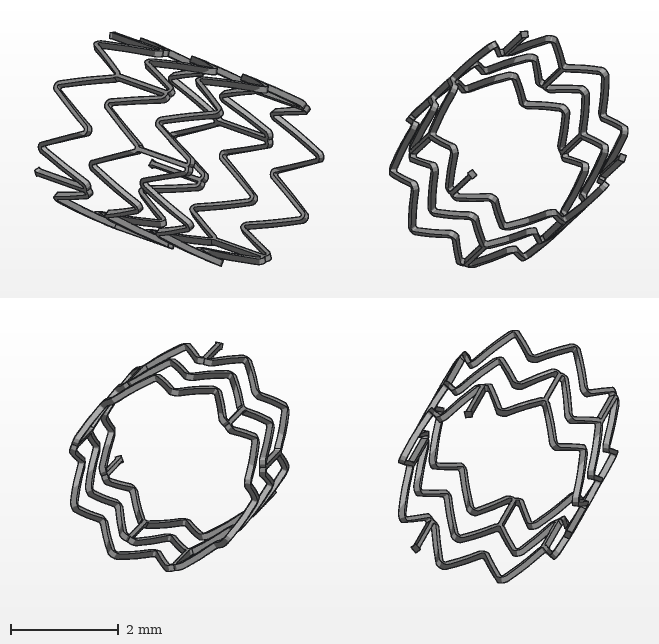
import cadquery as cq
import math

OUTER_DIAMETER = 3.5
INNER_DIAMETER = 3.26
OUTER_RADIUS = OUTER_DIAMETER / 2

TOTAL_LENGTH = 4.22
RING_COUNT = 3
CROWNS_PER_RING = 9
LINKS_PER_RING = 3

RING_LENGTH = 1.232
STRUT_WIDTH = 0.085
CROWN_INNER_RADIUS = 0.035
CROWN_OUTER_RADIUS = CROWN_INNER_RADIUS + STRUT_WIDTH

LINK_HALF_WIDTH = 0.042
LINK_FILLET = 0.08
FIRST_LINK_ANGLE = 100.0

CROWN_STEP = 360 / CROWNS_PER_RING
LINK_STEP = 360 / LINKS_PER_RING
STRUT_SPAN = CROWN_STEP / 2
HALF_SPAN = OUTER_RADIUS * math.tan(math.radians(STRUT_SPAN / 2))

LOOP_OFFSET = LINK_HALF_WIDTH + CROWN_INNER_RADIUS

fillet_end = math.sqrt(
    (CROWN_OUTER_RADIUS + LINK_FILLET) ** 2 - (LINK_HALF_WIDTH + LINK_FILLET) ** 2
)
touch_fraction = CROWN_OUTER_RADIUS / (CROWN_OUTER_RADIUS + LINK_FILLET)
fillet_start = fillet_end * touch_fraction
link_end_half_width = (LINK_HALF_WIDTH + LINK_FILLET) * touch_fraction

LINK_OVERHANG = CROWN_OUTER_RADIUS - fillet_start
RING_PITCH = (TOTAL_LENGTH - LINK_OVERHANG) / RING_COUNT
LEFT_END = -TOTAL_LENGTH / 2

LOFT_DEPTHS = (0.9, 1.02)

tube = (
    cq.Workplane("YZ", origin=(LEFT_END, 0, 0))
    .circle(OUTER_RADIUS)
    .circle(INNER_DIAMETER / 2)
    .extrude(TOTAL_LENGTH)
)


def on_circle(center, radius, angle):
    return (center[0] + radius * math.cos(angle), center[1] + radius * math.sin(angle))


def arc(center, radius, start, end):
    """Middle and end point of an arc that begins at the start angle."""
    return [on_circle(center, radius, (start + end) / 2), on_circle(center, radius, end)]


def radial_solid(start, path):
    """Solid with walls along the radius, on the -Y side of the tube.

    The outline lies in (axial, tangential) coordinates on the plane that touches
    the tube. A path step holds one point for a line and two for an arc.
    """
    sections = cq.Workplane("XZ")
    previous_depth = 0
    for fraction in LOFT_DEPTHS:
        depth = OUTER_RADIUS * fraction

        def scaled(point):
            return (point[0], point[1] * fraction)

        sections = sections.workplane(offset=depth - previous_depth).moveTo(*scaled(start))
        for step in path:
            points = [scaled(point) for point in step]
            if len(points) == 2:
                sections = sections.threePointArc(*points)
            else:
                sections = sections.lineTo(*points[0])
        sections = sections.close()
        previous_depth = depth
    return sections.loft(ruled=True)


def make_strut(linked):
    """One strut of the first ring, from a left crown up to a right crown."""
    loop_offset = LOOP_OFFSET if linked else 0
    ring_right = LEFT_END + RING_PITCH + LINK_OVERHANG
    left = (ring_right - RING_LENGTH + CROWN_OUTER_RADIUS, -HALF_SPAN)
    right = (ring_right - CROWN_OUTER_RADIUS, HALF_SPAN - loop_offset)

    run = right[0] - left[0]
    rise = right[1] - left[1]
    tangent_gap = CROWN_INNER_RADIUS + CROWN_OUTER_RADIUS
    slope = math.atan2(rise, run) - math.asin(tangent_gap / math.hypot(run, rise))
    above = slope + math.pi / 2
    below = slope - math.pi / 2

    if linked:
        outer_end = math.asin(loop_offset / CROWN_OUTER_RADIUS)
        right_end = [
            arc(right, CROWN_INNER_RADIUS, below, math.pi / 2),
            [(right[0], HALF_SPAN)],
        ]
    else:
        outer_end = 0
        right_end = [arc(right, CROWN_INNER_RADIUS, below, 0)]

    path = [
        arc(left, CROWN_OUTER_RADIUS, math.pi, above),
        [on_circle(right, CROWN_INNER_RADIUS, below)],
        *right_end,
        [on_circle(right, CROWN_OUTER_RADIUS, outer_end)],
        arc(right, CROWN_OUTER_RADIUS, outer_end, below),
        [on_circle(left, CROWN_INNER_RADIUS, above)],
        arc(left, CROWN_INNER_RADIUS, above, math.pi),
    ]
    return radial_solid(on_circle(left, CROWN_OUTER_RADIUS, math.pi), path).intersect(tube)


def make_link():
    """Link that ends in the first ring, with a fillet on both sides of its start."""
    crown_before = LEFT_END - fillet_start
    fillet_x = crown_before + fillet_end
    link_end = crown_before + RING_PITCH
    fillet_y = LINK_HALF_WIDTH + LINK_FILLET
    touch_angle = math.atan2(fillet_y, fillet_end)
    path = [
        arc((fillet_x, -fillet_y), LINK_FILLET, math.pi - touch_angle, math.pi / 2),
        [(link_end, -LINK_HALF_WIDTH)],
        [(link_end, LINK_HALF_WIDTH)],
        [(fillet_x, LINK_HALF_WIDTH)],
        arc((fillet_x, fillet_y), LINK_FILLET, -math.pi / 2, touch_angle - math.pi),
    ]
    return radial_solid((LEFT_END, -link_end_half_width), path).intersect(tube)


def placed(piece, ring, angle):
    """Copy of a piece of the first ring, turned from -Y towards +Z."""
    return piece.rotate((0, 0, 0), (1, 0, 0), -angle).translate((ring * RING_PITCH, 0, 0)).val()


rising_struts = {linked: make_strut(linked) for linked in (False, True)}
falling_struts = {linked: strut.mirror("XY") for linked, strut in rising_struts.items()}
link = make_link()

pieces = []
for ring in range(RING_COUNT):
    first_link = FIRST_LINK_ANGLE - ring * CROWN_STEP
    for index in range(LINKS_PER_RING):
        pieces.append(placed(link, ring, first_link + index * LINK_STEP))
    for index in range(CROWNS_PER_RING):
        crown_angle = first_link + index * CROWN_STEP
        linked = index % (CROWNS_PER_RING // LINKS_PER_RING) == 0
        pieces.append(placed(rising_struts[linked], ring, crown_angle - STRUT_SPAN / 2))
        pieces.append(placed(falling_struts[linked], ring, crown_angle + STRUT_SPAN / 2))

result = cq.Workplane(pieces[0].fuse(*pieces[1:])).solids()